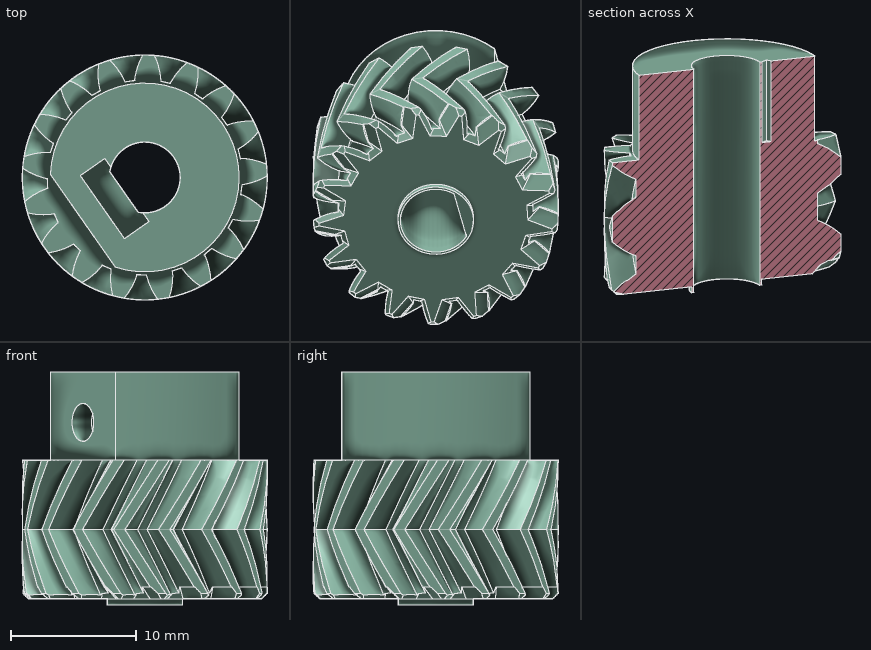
import cadquery as cq
import math

tooth_count = 17
tip_radius = 9.73
root_radius = 7.75
half_width = 5.5
helix_twist = 20.8
top_gap_angle = 98.8
gap_root_half_angle = 2.8
gap_middle_half_angle = 4.9
gap_tip_half_angle = 7.9
edge_chamfer = 0.45
chamfer_reach = 0.95

hub_radius = 7.5
hub_height = 7.0
collar_radius = 3.0
collar_height = 0.49

bore_radius = 2.8
bore_flat_distance = 2.0
flat_angle = 215.0

hub_flat_distance = 6.0
screw_diameter = 3.0
screw_depth = 4.0
nut_slot_length = 6.11
nut_slot_inner = 1.73
nut_slot_outer = 4.1
nut_slot_depth = 6.67

hub_bottom = 2 * half_width
hub_top = hub_bottom + hub_height
pitch_angle = 360.0 / tooth_count


def polar(radius, degrees):
    angle = math.radians(degrees)
    return (radius * math.cos(angle), radius * math.sin(angle))


def gear_outline(workplane, gap_angle):
    """Closed tooth outline with one of its gaps centred on gap_angle."""
    middle_radius = (root_radius + tip_radius) / 2
    outline = workplane.moveTo(*polar(tip_radius, gap_angle - gap_tip_half_angle))
    for index in range(tooth_count):
        gap = gap_angle + index * pitch_angle
        next_flank = gap + pitch_angle - gap_tip_half_angle
        outline = outline.threePointArc(
            polar(middle_radius, gap - gap_middle_half_angle),
            polar(root_radius, gap - gap_root_half_angle),
        )
        outline = outline.threePointArc(
            polar(root_radius, gap),
            polar(root_radius, gap + gap_root_half_angle),
        )
        outline = outline.threePointArc(
            polar(middle_radius, gap + gap_middle_half_angle),
            polar(tip_radius, gap + gap_tip_half_angle),
        )
        outline = outline.threePointArc(
            polar(tip_radius, gap + pitch_angle / 2),
            polar(tip_radius, next_flank),
        )
    return outline.close()


def herringbone_gear():
    """Two opposite helices whose teeth meet at the middle plane."""
    lower = gear_outline(cq.Workplane("XY"), top_gap_angle).twistExtrude(half_width, -helix_twist)
    middle_plane = cq.Workplane("XY").workplane(offset=half_width)
    upper = gear_outline(middle_plane, top_gap_angle - helix_twist).twistExtrude(half_width, helix_twist)
    return lower.union(upper)


def tip_chamfer_cutter():
    """Ring that bevels the tooth tips at the bottom face."""
    return (
        cq.Workplane("XZ")
        .moveTo(tip_radius - edge_chamfer, 0)
        .lineTo(tip_radius + edge_chamfer, 0)
        .lineTo(tip_radius + edge_chamfer, 2 * edge_chamfer)
        .close()
        .revolve(360, (0, 0, 0), (0, 1, 0))
    )


def gap_chamfer_cutter():
    """Upward-narrowing wedge that bevels both flanks and the root of one gap at the bottom face."""
    overreach = tip_radius + 3 * chamfer_reach
    root_x, root_y = polar(root_radius, gap_root_half_angle)
    tip_x, tip_y = polar(tip_radius, gap_tip_half_angle)
    flank_slope = (tip_y - root_y) / (tip_x - root_x)
    outer_y = root_y + flank_slope * (overreach - root_x)
    side_growth = math.hypot(1, flank_slope)

    def section(growth):
        """Gap section moved outward on its root and flank sides by growth."""
        inner_x = root_x - growth
        shift = growth * side_growth
        inner_half = root_y - flank_slope * growth + shift
        outer_half = outer_y + shift
        return [
            (inner_x, -inner_half),
            (overreach, -outer_half),
            (overreach, outer_half),
            (inner_x, inner_half),
        ]

    return (
        cq.Workplane("XY")
        .polyline(section(edge_chamfer)).close()
        .workplane(offset=chamfer_reach)
        .polyline(section(edge_chamfer - chamfer_reach)).close()
        .loft(ruled=True)
    )


def hub():
    """Round hub with one flat for the set screw."""
    base_plane = cq.Workplane("XY", origin=(0, 0, hub_bottom))
    flat_side = (
        base_plane
        .center(hub_flat_distance, 0)
        .box(2 * hub_radius, 2 * hub_radius, hub_height, centered=(False, True, False))
        .rotate((0, 0, 0), (0, 0, 1), flat_angle)
    )
    return base_plane.circle(hub_radius).extrude(hub_height).cut(flat_side)


def shaft_bore():
    """D-shaped bore through the whole part."""
    length = hub_top + collar_height
    half_chord = math.sqrt(bore_radius ** 2 - bore_flat_distance ** 2)
    return (
        cq.Workplane("XY")
        .workplane(offset=-collar_height)
        .moveTo(bore_flat_distance, -half_chord)
        .lineTo(bore_flat_distance, half_chord)
        .threePointArc((-bore_radius, 0), (bore_flat_distance, -half_chord))
        .close()
        .extrude(length)
        .rotate((0, 0, 0), (0, 0, 1), flat_angle)
    )


def screw_and_nut_cutter():
    """Radial screw hole from the flat to the bore, and the nut slot open at the hub's top."""
    screw = (
        cq.Workplane("YZ")
        .center(0, hub_top - screw_depth)
        .circle(screw_diameter / 2)
        .extrude(hub_radius)
    )
    nut_slot = (
        cq.Workplane("XY", origin=(nut_slot_inner, 0, hub_top - nut_slot_depth))
        .box(nut_slot_outer - nut_slot_inner, nut_slot_length, nut_slot_depth, centered=(False, True, False))
    )
    return screw.union(nut_slot).rotate((0, 0, 0), (0, 0, 1), flat_angle)


gap_wedge = gap_chamfer_cutter()
gap_wedges = [
    gap_wedge.rotate((0, 0, 0), (0, 0, 1), top_gap_angle + index * pitch_angle).val()
    for index in range(tooth_count)
]
sharp_gear = herringbone_gear().val()
gear = cq.Workplane(sharp_gear.cut(tip_chamfer_cutter().val(), *gap_wedges))

collar = cq.Workplane("XY").circle(collar_radius).extrude(-collar_height)

result = gear.union(hub()).union(collar).cut(shaft_bore()).cut(screw_and_nut_cutter())